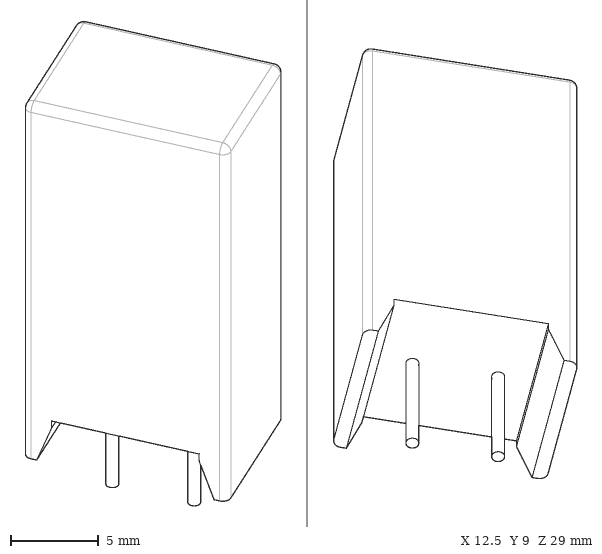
import cadquery as cq
import math

body_length = 12.5
body_width = 9.0
body_height = 25.0
edge_radius = 0.5

recess_height = 3.0
recess_top_length = 9.0
recess_straight_height = 0.5
flare_angle = 20.0

lead_diameter = 0.75
lead_pitch = 5.0
lead_protrusion = 4.0


def make_body():
    """Box standing on Z = 0 with rounded upright and top edges."""
    box = cq.Workplane("XY").box(body_length, body_width, body_height, centered=(True, True, False))
    return box.edges("|Z or >Z").fillet(edge_radius)


def make_recess():
    """Channel along Y with flared walls that turn upright just below its ceiling."""
    half_top = recess_top_length / 2
    flare_top = recess_height - recess_straight_height
    half_bottom = half_top + flare_top * math.tan(math.radians(flare_angle))
    profile = [
        (-half_bottom, 0),
        (-half_top, flare_top),
        (-half_top, recess_height),
        (half_top, recess_height),
        (half_top, flare_top),
        (half_bottom, 0),
    ]
    return cq.Workplane("XZ").polyline(profile).close().extrude(body_width / 2, both=True)


def make_lead(x):
    """Round lead running from the recess ceiling to below the feet."""
    lead_length = recess_height + lead_protrusion
    base = cq.Workplane("XY", origin=(x, 0, -lead_protrusion))
    return base.circle(lead_diameter / 2).extrude(lead_length)


result = make_body().cut(make_recess())
for side in (-1, 1):
    result = result.union(make_lead(side * lead_pitch / 2))